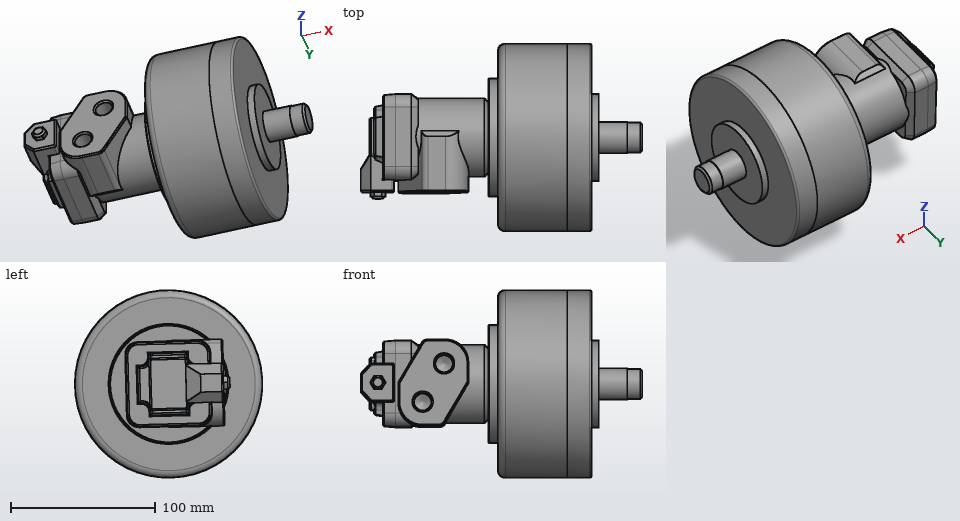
import cadquery as cq
import math


CORNER_MARGIN = 0.2

ARM_BACK_X = 23.2
HEAD_FRONT_X = 15.2
HEAD_PARTING_X = 23.8
HEAD_TAPER_X = 35.0
HEAD_BACK_X = 40.0
COVER_FRONT_X = 9.2
COVER_PAD_X = 6.0
DISC_X = 88.3
DRUM_X = 95.0
END_CAP_X = 143.0
FLANGE_X = 159.9
ROD_X = 165.0
ROD_STEP_X = 184.5
ROD_END_X = 195.0

DRUM_DIAMETER = 130.0
DRUM_FRONT_FILLET = 5.0
DRUM_BACK_FILLET = 1.5
FLANGE_RADIUS = 30.2
ROD_RADIUS = 11.0
ROD_TIP_RADIUS = 10.5
ROD_TIP_CHAMFER = 1.5
DISC_RADIUS = 41.0
DISC_CHAMFER = 0.5
DISC_SEAT_RADIUS = 41.7
DISC_SEAT_DEPTH = 2.0
NECK_RADIUS = 27.3
NECK_CHAMFER = 2.7

UNION_TILT = 1.5
HEAD_WIDTH = 59.3
HEAD_CORNER = 9.0
HEAD_FRONT_CHAMFER = 1.2
HEAD_FRONT_DRAFT = 5.0
HEAD_BACK_DRAFT = 35.0
PORT_CENTER_X = 50.3
PORT_FACE_Y = -38.2
PORT_BACK_Y = 4.9
PORT_BACK_BEVEL_Y = 4.9
PORT_BACK_BEVEL_Z = 3.7
PORT_HALF_WIDTH = 24.4
PORT_HALF_HEIGHT = 30.0
PORT_SHORT_EDGE_X = 6.6
PORT_LARGE_CORNER = 16.2
PORT_SMALL_CORNER = 4.9
PORT_FACE_CHAMFER = 1.0
PORT_HOLE_X = 7.5
PORT_HOLE_Z = 13.3
PORT_HOLE_DIAMETER = 12.0
PORT_MOUTH_DIAMETER = 14.5
PORT_HOLE_DEPTH = 19.5
DRILL_POINT_ANGLE = 118.0

COVER_HALF_WIDTH = 14.0
COVER_HALF_HEIGHT = 22.2
COVER_EAR_Y = 22.0
COVER_EAR_HALF_HEIGHT = 13.5
COVER_INNER_FILLET = 4.9
COVER_DRAFT = 10.0
COVER_CHAMFER = 1.2
PAD_HALF_WIDTH = 13.3
PAD_HALF_HEIGHT = 18.1
PAD_CORNER = 2.0
PAD_CHAMFER = 1.2
ARM_HALF_HEIGHT = 13.5
ARM_CORNER_X = 6.8
ARM_CORNER_Z = 7.2
ARM_FACE_Y = -38.0
ARM_CHAMFER = 1.2
ARM_BACK_FILLET = 1.5
ARM_SLOPE_TOP_Y = -11.0
ARM_SLOPE_FOOT_Y = -22.2

SCREW_X = 11.9
SCREW_HEX_FLATS = 9.2
SCREW_HEX_HEIGHT = 3.0
SCREW_TIP_HEIGHT = 1.5
SCREW_TIP_DRAFT = 40.0


def cylinder(radius, start_x, end_x):
    return cq.Workplane("YZ", origin=(start_x, 0, 0)).circle(radius).extrude(end_x - start_x)


def block(start_x, end_x, y_range, z_range):
    size = (end_x - start_x, y_range[1] - y_range[0], z_range[1] - z_range[0])
    return cq.Workplane().box(*size, centered=False).translate((start_x, y_range[0], z_range[0]))


def tilted(body):
    return body.rotate((0, 0, 0), (1, 0, 0), -UNION_TILT)


def make_drum():
    drum = cylinder(DRUM_DIAMETER / 2, DRUM_X, END_CAP_X)
    drum = drum.faces("<X").edges().fillet(DRUM_FRONT_FILLET)
    return drum.cut(cylinder(DISC_SEAT_RADIUS, DRUM_X, DRUM_X + DISC_SEAT_DEPTH))


def make_end_cap():
    cap = cylinder(DRUM_DIAMETER / 2, END_CAP_X, FLANGE_X).faces(">X").edges().fillet(DRUM_BACK_FILLET)
    return cap.union(cylinder(FLANGE_RADIUS, FLANGE_X, ROD_X))


def make_rod():
    tip = cylinder(ROD_TIP_RADIUS, ROD_STEP_X, ROD_END_X).faces(">X").edges().chamfer(ROD_TIP_CHAMFER)
    return cylinder(ROD_RADIUS, ROD_X, ROD_STEP_X).union(tip)


def make_disc():
    """Disc seated with a narrow gap in the recess of the drum."""
    disc = cylinder(DISC_RADIUS, DISC_X, DRUM_X + DISC_SEAT_DEPTH)
    return disc.faces("<X").edges().chamfer(DISC_CHAMFER)


def head_section(length, draft):
    """Rounded square from the parting plane, growing along X for a positive length."""
    outline = cq.Sketch().rect(HEAD_WIDTH, HEAD_WIDTH).vertices().fillet(HEAD_CORNER)
    return cq.Workplane("YZ").placeSketch(outline).extrude(length, taper=draft)


def make_head():
    front = head_section(HEAD_FRONT_X - HEAD_PARTING_X, HEAD_FRONT_DRAFT).translate((HEAD_PARTING_X, 0, 0))
    front = front.faces("<X").edges().chamfer(HEAD_FRONT_CHAMFER)
    middle = head_section(HEAD_TAPER_X - HEAD_PARTING_X, 0).translate((HEAD_PARTING_X, 0, 0))
    back = head_section(HEAD_BACK_X - HEAD_TAPER_X, HEAD_BACK_DRAFT).translate((HEAD_TAPER_X, 0, 0))
    return front.union(middle).union(back)


def port_prism():
    """Hexagon extruded to the port face, symmetric under a half turn, with rounded corners."""
    right_half = [
        (PORT_HALF_WIDTH, 0),
        (PORT_HALF_WIDTH, PORT_HALF_HEIGHT),
        (-PORT_SHORT_EDGE_X, PORT_HALF_HEIGHT),
    ]
    left_half = [(-x, -z) for x, z in right_half]
    prism = (
        cq.Workplane("XZ", origin=(0, PORT_BACK_Y, 0))
        .polyline(right_half + left_half)
        .close()
        .extrude(PORT_BACK_Y - PORT_FACE_Y)
    )
    for corner, radius in ((right_half[1], PORT_LARGE_CORNER), (right_half[2], PORT_SMALL_CORNER)):
        for side in (1, -1):
            place = (side * corner[0], PORT_BACK_Y, side * corner[1])
            prism = prism.edges("|Y").edges(cq.selectors.NearestToPointSelector(place)).fillet(radius)
    return prism


def make_port_block():
    """Port prism, with its top and bottom sloping in at the back."""
    side_profile = [
        (PORT_FACE_Y, PORT_HALF_HEIGHT),
        (PORT_BACK_Y - PORT_BACK_BEVEL_Y, PORT_HALF_HEIGHT),
        (PORT_BACK_Y, PORT_HALF_HEIGHT - PORT_BACK_BEVEL_Z),
    ]
    mirrored = [(y, -z) for y, z in reversed(side_profile)]
    envelope = cq.Workplane("YZ").polyline(side_profile + mirrored).close()
    envelope = envelope.extrude(PORT_HALF_WIDTH, both=True)
    prism = port_prism().faces("<Y").edges().chamfer(PORT_FACE_CHAMFER)
    return prism.intersect(envelope).translate((PORT_CENTER_X, 0, 0))


def make_port_hole():
    """Chamfered drilled hole, entering the port face along +Y."""
    radius = PORT_HOLE_DIAMETER / 2
    mouth_radius = PORT_MOUTH_DIAMETER / 2
    tip_length = radius / math.tan(math.radians(DRILL_POINT_ANGLE / 2))
    profile = [
        (0, 0),
        (mouth_radius, 0),
        (radius, mouth_radius - radius),
        (radius, PORT_HOLE_DEPTH),
        (0, PORT_HOLE_DEPTH + tip_length),
    ]
    return cq.Workplane("XY").polyline(profile).close().revolve(360, (0, 0, 0), (0, 1, 0))


def make_union_body():
    neck = cylinder(NECK_RADIUS, HEAD_TAPER_X, DISC_X).faces(">X").edges().chamfer(NECK_CHAMFER)
    body = make_head().union(neck).union(make_port_block())
    for side in (1, -1):
        place = (PORT_CENTER_X + side * PORT_HOLE_X, PORT_FACE_Y, side * PORT_HOLE_Z)
        body = body.cut(make_port_hole().translate(place))
    return tilted(body)


def make_cover_plate():
    """Cross-shaped plate with drafted sides, carrying a raised pad."""
    inner_corners = cq.selectors.BoxSelector(
        (-COVER_HALF_WIDTH - CORNER_MARGIN, -COVER_EAR_HALF_HEIGHT - CORNER_MARGIN, -CORNER_MARGIN),
        (COVER_HALF_WIDTH + CORNER_MARGIN, COVER_EAR_HALF_HEIGHT + CORNER_MARGIN, CORNER_MARGIN),
    )
    outline = (
        cq.Sketch()
        .rect(2 * COVER_HALF_WIDTH, 2 * COVER_HALF_HEIGHT)
        .rect(2 * COVER_EAR_Y, 2 * COVER_EAR_HALF_HEIGHT)
        .clean()
        .vertices(inner_corners)
        .fillet(COVER_INNER_FILLET)
    )
    plate = cq.Workplane("YZ", origin=(HEAD_FRONT_X, 0, 0)).placeSketch(outline)
    plate = plate.extrude(COVER_FRONT_X - HEAD_FRONT_X, taper=COVER_DRAFT)
    plate = plate.faces("<X").edges().chamfer(COVER_CHAMFER)
    pad = block(
        COVER_PAD_X,
        HEAD_FRONT_X,
        (-PAD_HALF_WIDTH, PAD_HALF_WIDTH),
        (-PAD_HALF_HEIGHT, PAD_HALF_HEIGHT),
    )
    pad = pad.edges("|X").fillet(PAD_CORNER).faces("<X").edges().chamfer(PAD_CHAMFER)
    return plate.union(pad)


def make_arm():
    """Prism with two cut corners, sloped down to the pad and hooked over the side of the head."""
    outline = [
        (0, ARM_HALF_HEIGHT - ARM_CORNER_Z),
        (ARM_CORNER_X, ARM_HALF_HEIGHT),
        (ARM_BACK_X, ARM_HALF_HEIGHT),
        (ARM_BACK_X, -ARM_HALF_HEIGHT),
        (ARM_CORNER_X, -ARM_HALF_HEIGHT),
        (0, ARM_CORNER_Z - ARM_HALF_HEIGHT),
    ]
    arm = cq.Workplane("XZ").polyline(outline).close().extrude(-ARM_FACE_Y)
    arm = arm.edges("|Y and >X").fillet(ARM_BACK_FILLET)
    arm = arm.faces("<Y").edges().chamfer(ARM_CHAMFER)
    slope = [(0, 0), (0, ARM_SLOPE_FOOT_Y), (ARM_CORNER_X, ARM_SLOPE_TOP_Y), (ARM_CORNER_X, 0)]
    arm = arm.cut(cq.Workplane("XY").polyline(slope).close().extrude(ARM_HALF_HEIGHT, both=True))
    head_space = block(
        HEAD_FRONT_X,
        ARM_BACK_X,
        (-HEAD_WIDTH / 2, 0),
        (-ARM_HALF_HEIGHT, ARM_HALF_HEIGHT),
    )
    return arm.cut(head_space)


def make_cover():
    return tilted(make_cover_plate().union(make_arm()))


def make_screw():
    corner_diameter = SCREW_HEX_FLATS / math.cos(math.radians(30))
    screw = cq.Workplane("XZ", origin=(SCREW_X, ARM_FACE_Y, 0)).polygon(6, corner_diameter)
    screw = screw.extrude(SCREW_HEX_HEIGHT)
    tip = screw.faces("<Y").workplane().circle(SCREW_HEX_FLATS / 2)
    tip = tip.extrude(SCREW_TIP_HEIGHT, taper=SCREW_TIP_DRAFT, combine=False)
    return tilted(screw.union(tip))


drum = make_drum()
end_cap = make_end_cap()
rod = make_rod()
disc = make_disc()
union_body = make_union_body()
cover = make_cover()
screw = make_screw()

result = cq.Compound.makeCompound(
    [
        drum.val(),
        end_cap.val(),
        rod.val(),
        disc.val(),
        union_body.val(),
        cover.val(),
        screw.val(),
    ]
)